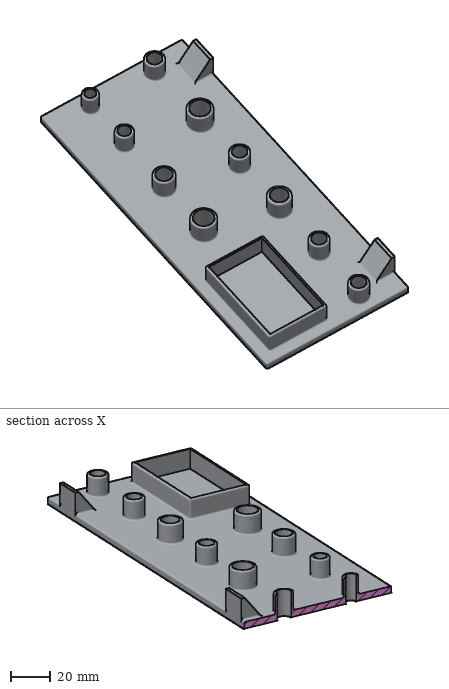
import cadquery as cq

plate_length = 200.0
plate_width = 88.5
plate_thickness = 4.0

edge_radius = 1.0
wall = 1.5
rim_height = 11.0
margin = 0.2

back_row_y = plate_width - 24.2
front_row_y = back_row_y - 40.0
back_row = [
    (10.0, 11.0, 8.0),
    (50.0, 14.0, 11.0),
    (85.0, 11.0, 8.0),
    (120.0, 13.0, 9.5),
    (155.0, 11.0, 8.0),
    (190.0, 11.0, 8.0),
]
front_row = [
    (10.0, 9.0, 6.0),
    (40.0, 10.0, 7.0),
    (75.0, 12.0, 9.0),
    (110.0, 14.0, 11.0),
]
posts = [(x, back_row_y, outer, bore) for x, outer, bore in back_row]
posts += [(x, front_row_y, outer, bore) for x, outer, bore in front_row]

tray_x = 165.0
tray_inner_length = 54.0
tray_inner_width = 33.0

wedge_inset = 20.0
wedge_centres_x = [wedge_inset, plate_length - wedge_inset]
wedge_length = 15.0
wedge_height = 12.0
wedge_depth = 11.5
wedge_crest = 2.0


def make_plate():
    """Plate with rounded corners; its top edge stays sharp until the wedges are in place."""
    return (
        cq.Workplane("XY")
        .box(plate_length, plate_width, plate_thickness, centered=False)
        .edges("|Z")
        .fillet(edge_radius)
    )


def make_wedge(centre_x):
    """Wedge flush with the back of the plate and sunk into it by the edge radius."""
    back = plate_width
    front = back - wedge_depth
    top = plate_thickness + wedge_height
    bottom = plate_thickness - edge_radius
    return (
        cq.Workplane("YZ", origin=(centre_x - wedge_length / 2, 0, 0))
        .moveTo(back, bottom)
        .lineTo(back, top)
        .lineTo(back - wedge_crest, top)
        .lineTo(front, plate_thickness)
        .lineTo(front, bottom)
        .close()
        .extrude(wedge_length)
    )


def make_post(x, y, outer):
    """Solid post with a rounded rim; its bore is cut once it stands on the plate."""
    return (
        cq.Workplane("XY", origin=(x, y, plate_thickness))
        .circle(outer / 2)
        .extrude(rim_height)
        .faces(">Z")
        .edges()
        .fillet(edge_radius)
    )


def make_tray_block():
    """Solid tray block with rounded corners and rim; its pocket is cut later."""
    return (
        cq.Workplane("XY", origin=(tray_x, front_row_y, plate_thickness))
        .rect(tray_inner_length + 2 * wall, tray_inner_width + 2 * wall)
        .extrude(rim_height)
        .edges("|Z or >Z")
        .fillet(edge_radius)
    )


def plate_top_zone(x_min, y_min, x_max, y_max):
    """Selector for edges centred in a rectangle on the top of the plate."""
    return cq.selectors.BoxSelector(
        (x_min - margin, y_min - margin, plate_thickness - margin),
        (x_max + margin, y_max + margin, plate_thickness + margin),
    )


def add_with_rounded_foot(body, feature):
    """Join a feature to the plate and round the inner corner around its foot."""
    box = feature.val().BoundingBox()
    y_limit = min(box.ymax, plate_width - edge_radius)
    foot = plate_top_zone(box.xmin, box.ymin, box.xmax, y_limit)
    return body.union(feature).edges(foot).fillet(edge_radius)


def round_plate_rim(body):
    """Round the top edge of the plate, which the wedges interrupt at the back."""
    whole_top = plate_top_zone(0, 0, plate_length, plate_width)
    interior = plate_top_zone(
        edge_radius, edge_radius, plate_length - edge_radius, plate_width - edge_radius
    )
    return body.edges(whole_top - interior).fillet(edge_radius)


wedges = [make_wedge(centre_x) for centre_x in wedge_centres_x]
result = make_plate()
for wedge in wedges:
    result = add_with_rounded_foot(result, wedge)
result = round_plate_rim(result)
for wedge in wedges:
    result = result.union(wedge)

result = add_with_rounded_foot(result, make_tray_block())
pocket = (
    cq.Workplane("XY", origin=(tray_x, front_row_y, plate_thickness))
    .rect(tray_inner_length, tray_inner_width)
    .extrude(rim_height)
)
result = result.cut(pocket)

for x, y, outer, bore in posts:
    result = add_with_rounded_foot(result, make_post(x, y, outer))
    bore_cutter = cq.Workplane("XY", origin=(x, y, 0)).circle(bore / 2).extrude(plate_thickness + rim_height)
    result = result.cut(bore_cutter)